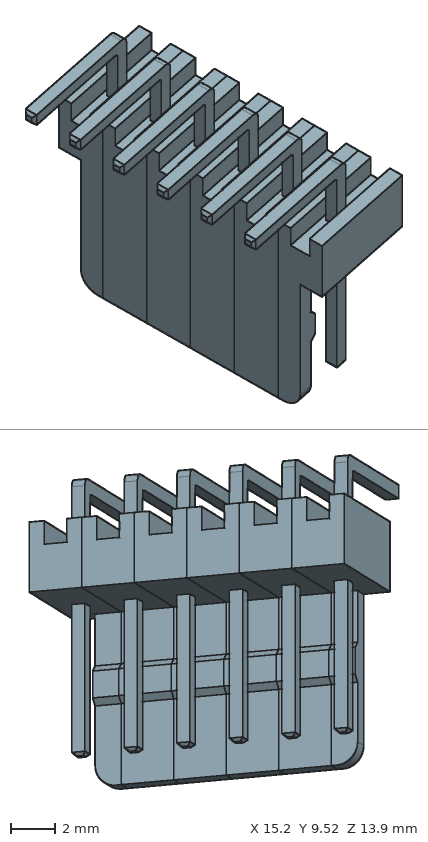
import cadquery as cq


length = 15.24
positions = 6
pitch = length / positions

block_depth = 5.79
block_bottom = 8.03
block_top = 11.3
slot_width = 1.1
slot_depth = 1.1

tongue_thickness = 0.8
corner_radius = 1.0
end_notch = pitch / 2
ridge_height = 0.3
ridge_flat = 1.25
ridge_center = 4.7

pin_size = 0.64
pin_back = 2.9
pin_top = 13.9
pin_bottom = 1.0
pin_reach = 3.73
bend_outer_radius = 0.38
bend_inner_radius = 0.18
tip_chamfer = 0.15


def slab(x_start, width, depth, bottom, top):
    """Box that starts at the front face (Y = 0) and reaches back by depth."""
    return cq.Workplane("XY").box(width, depth, top - bottom, centered=False).translate((x_start, 0, bottom))


def make_block(x_start):
    """Upper block of one slice, with the slot that runs front to back around the pin."""
    slot_start = x_start + (pitch - slot_width) / 2
    block = slab(x_start, pitch, block_depth, block_bottom, block_top)
    slot = slab(slot_start, slot_width, block_depth, block_top - slot_depth, block_top)
    return block.cut(slot)


def make_tongue(x_start, width):
    """Tongue of one slice, extruded from a side profile that includes the latch ridge."""
    ridge_back = tongue_thickness + ridge_height
    flat_half = ridge_flat / 2
    base_half = flat_half + ridge_height
    return (
        cq.Workplane("YZ")
        .moveTo(0, 0)
        .lineTo(tongue_thickness, 0)
        .lineTo(tongue_thickness, ridge_center - base_half)
        .lineTo(ridge_back, ridge_center - flat_half)
        .lineTo(ridge_back, ridge_center + flat_half)
        .lineTo(tongue_thickness, ridge_center + base_half)
        .lineTo(tongue_thickness, block_bottom)
        .lineTo(0, block_bottom)
        .close()
        .extrude(width)
        .translate((x_start, 0, 0))
    )


def make_pin(x_center):
    """Square pin bent forward above the housing, with both ends chamfered."""
    pin_front = pin_back - pin_size
    leg_bottom = pin_top - pin_size
    pin = (
        cq.Workplane("YZ")
        .moveTo(pin_back, pin_bottom)
        .lineTo(pin_back, pin_top - bend_outer_radius)
        .radiusArc((pin_back - bend_outer_radius, pin_top), -bend_outer_radius)
        .lineTo(-pin_reach, pin_top)
        .lineTo(-pin_reach, leg_bottom)
        .lineTo(pin_front - bend_inner_radius, leg_bottom)
        .radiusArc((pin_front, leg_bottom - bend_inner_radius), bend_inner_radius)
        .lineTo(pin_front, pin_bottom)
        .close()
        .extrude(pin_size / 2, both=True)
    )
    pin = pin.faces("<Y").chamfer(tip_chamfer)
    pin = pin.faces("<Z").chamfer(tip_chamfer)
    return pin.translate((x_center, 0, 0))


def make_slice(index):
    """One body of the row; the end slices have a notched tongue with a rounded lower corner."""
    x_start = -length / 2 + index * pitch
    is_left_end = index == 0
    is_right_end = index == positions - 1

    tongue_start = x_start + (end_notch if is_left_end else 0)
    tongue_width = pitch - (end_notch if is_left_end or is_right_end else 0)
    tongue = make_tongue(tongue_start, tongue_width)
    if is_left_end:
        tongue = tongue.edges("<X and <Z").fillet(corner_radius)
    if is_right_end:
        tongue = tongue.edges(">X and <Z").fillet(corner_radius)

    return make_block(x_start).union(tongue).union(make_pin(x_start + pitch / 2))


slices = [make_slice(index).solids().val() for index in range(positions)]

result = cq.Compound.makeCompound(slices)